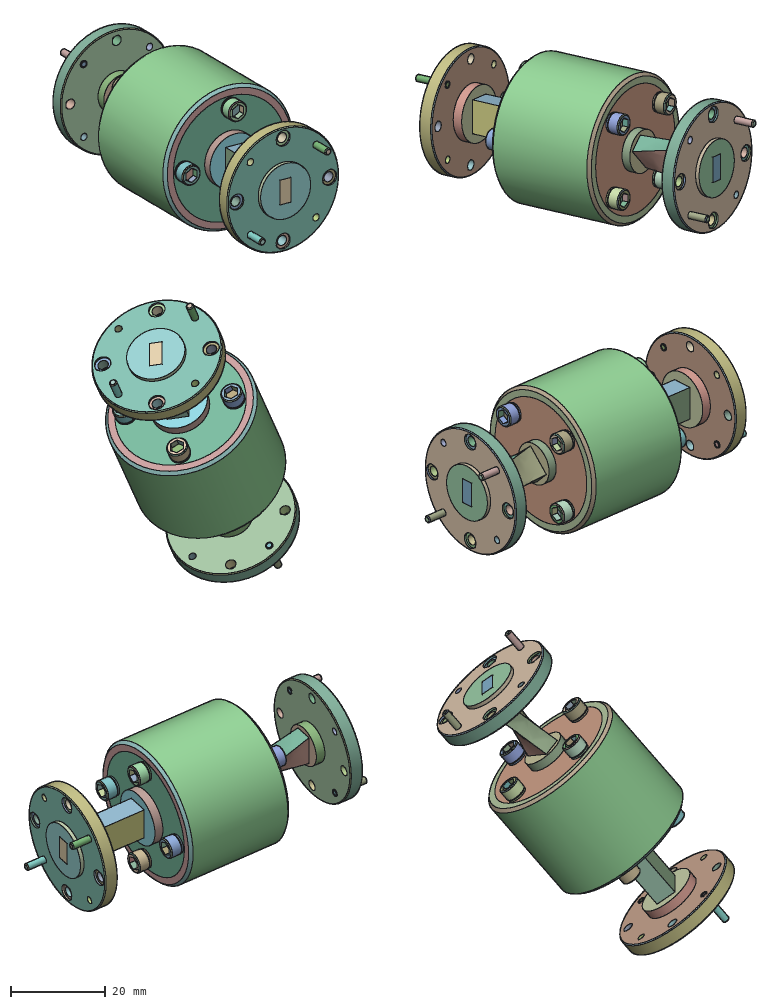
import cadquery as cq
import math


SLEEVE_END = 12.9
CAP_BOSS_END = 15.0
FLANGE_BOSS_START = 27.8
FLANGE_BACK = 30.0
FLANGE_FRONT = 33.3
CONTACT_FACE = 34.2
PIN_END = 38.0

SLEEVE_DIAMETER = 33.2
SLEEVE_CHAMFER = 0.7
CAP_RADIUS = 14.4

FLANGE_RADIUS = 14.3
FLANGE_CHAMFER = 0.2
CONTACT_RADIUS = 6.4
STRAIGHT_BOSS_RADIUS = CONTACT_RADIUS
TWIST_BOSS_RADIUS = 4.8
BOLT_CIRCLE_RADIUS = 11.85
BOLT_HOLE_DIAMETER = 2.3
COUNTERBORE_DIAMETER = 3.6
COUNTERBORE_DEPTH = 0.45
PIN_DIAMETER = 1.6
PIN_CHAMFER = 0.2

HEAD_DIAMETER = 4.6
HEAD_HEIGHT = 2.8
HEAD_CHAMFER = 0.2
NECK_DIAMETER = 4.4
NECK_HEIGHT = 0.4
SOCKET_WIDTH = 2.8
SOCKET_DEPTH = 1.5

STRAIGHT_GUIDE = (4.8, 7.6)
TWIST_GUIDE = (4.1, 7.0)
APERTURE = (2.8, 5.7)
TWIST_ANGLE = 45.0

SQUARE_ANGLES = (0, 90, 180, 270)
DIAGONAL_ANGLES = (45, 135, 225, 315)
STRAIGHT_PIN_ANGLES = (45, 225)
TWIST_PIN_ANGLES = (135, 315)


def disc(radius, start, end):
    """Cylinder about the X axis between two stations."""
    return cq.Workplane("YZ", origin=(start, 0, 0)).circle(radius).extrude(end - start)


def polar_points(angles):
    """Points (y, z) on the bolt circle at the given angles."""
    return [
        (
            BOLT_CIRCLE_RADIUS * math.cos(math.radians(angle)),
            BOLT_CIRCLE_RADIUS * math.sin(math.radians(angle)),
        )
        for angle in angles
    ]


def bars(diameter, start, end, angles):
    """Round bars parallel to X, of the given diameter, on the bolt circle."""
    return (
        cq.Workplane("YZ", origin=(start, 0, 0))
        .pushPoints(polar_points(angles))
        .circle(diameter / 2)
        .extrude(end - start)
    )


def block(section, start, end):
    """Rectangular bar along X between two stations."""
    return cq.Workplane("YZ", origin=(start, 0, 0)).rect(*section).extrude(end - start)


def flange(pin_angles):
    """Flange disc with contact face, bolt holes, dowel holes and two dowel pins."""
    body = disc(FLANGE_RADIUS, FLANGE_BACK, FLANGE_FRONT).edges().chamfer(FLANGE_CHAMFER)
    body = body.cut(bars(BOLT_HOLE_DIAMETER, FLANGE_BACK, FLANGE_FRONT, SQUARE_ANGLES))
    seat = FLANGE_FRONT - COUNTERBORE_DEPTH
    body = body.cut(bars(COUNTERBORE_DIAMETER, seat, FLANGE_FRONT, SQUARE_ANGLES))
    body = body.cut(bars(PIN_DIAMETER, FLANGE_BACK, FLANGE_FRONT, DIAGONAL_ANGLES))
    body = body.union(disc(CONTACT_RADIUS, FLANGE_FRONT, CONTACT_FACE))
    pins = bars(PIN_DIAMETER, FLANGE_BACK, PIN_END, pin_angles)
    pins = pins.faces("<X or >X").edges().chamfer(PIN_CHAMFER)
    return body.union(pins)


def cap_screws(angles):
    """Socket heads standing on a cap, each on a slightly narrower neck."""
    head_start = SLEEVE_END + NECK_HEIGHT
    head_end = head_start + HEAD_HEIGHT
    heads = bars(HEAD_DIAMETER, head_start, head_end, angles)
    heads = heads.faces(">X or <X").edges().chamfer(HEAD_CHAMFER)
    sockets = (
        cq.Workplane("YZ", origin=(head_end - SOCKET_DEPTH, 0, 0))
        .pushPoints(polar_points(angles))
        .polygon(6, SOCKET_WIDTH, circumscribed=True)
        .extrude(SOCKET_DEPTH)
    )
    necks = bars(NECK_DIAMETER, SLEEVE_END, head_start, angles)
    return heads.cut(sockets).union(necks)


def straight_guide():
    """Rectangular bar between the two bosses of the straight arm."""
    return block(STRAIGHT_GUIDE, CAP_BOSS_END, FLANGE_BOSS_START)


def twisted_guide():
    """Ruled loft from a section turned by the twist angle at the cap to an upright one at the flange."""
    cap_end = cq.Workplane("YZ", origin=(CAP_BOSS_END, 0, 0)).rect(*TWIST_GUIDE).wires().val()
    cap_end = cap_end.rotate(cq.Vector(0, 0, 0), cq.Vector(1, 0, 0), -TWIST_ANGLE)
    flange_end = cq.Workplane("YZ", origin=(FLANGE_BOSS_START, 0, 0)).rect(*TWIST_GUIDE).wires().val()
    return cq.Workplane(cq.Solid.makeLoft([cap_end, flange_end], True))


def arm(guide, boss_radius, pin_angles, screw_angles):
    """Arm along +X: cap reaching the middle of the sleeve, screws, bosses, guide and flange."""
    body = disc(CAP_RADIUS, 0, SLEEVE_END)
    body = body.union(cap_screws(screw_angles))
    body = body.union(disc(boss_radius, SLEEVE_END, CAP_BOSS_END))
    body = body.union(guide)
    body = body.union(disc(boss_radius, FLANGE_BOSS_START, FLANGE_BACK))
    body = body.union(flange(pin_angles))
    return body.cut(aperture_fill())


def aperture_fill():
    """Rectangular piece that fills a flange aperture from the guide to the contact face."""
    return block(APERTURE, FLANGE_BOSS_START, CONTACT_FACE)


def sleeve():
    """Tube with chamfered outer rims."""
    body = disc(SLEEVE_DIAMETER / 2, -SLEEVE_END, SLEEVE_END).edges().chamfer(SLEEVE_CHAMFER)
    return body.cut(disc(CAP_RADIUS, -SLEEVE_END, SLEEVE_END))


housing = sleeve()
straight_arm = arm(straight_guide(), STRAIGHT_BOSS_RADIUS, STRAIGHT_PIN_ANGLES, SQUARE_ANGLES)
twisted_arm = arm(twisted_guide(), TWIST_BOSS_RADIUS, TWIST_PIN_ANGLES, DIAGONAL_ANGLES).mirror("YZ")
straight_fill = aperture_fill()
twisted_fill = aperture_fill().mirror("YZ")

result = cq.Compound.makeCompound(
    [
        housing.val(),
        straight_arm.val(),
        twisted_arm.val(),
        straight_fill.val(),
        twisted_fill.val(),
    ]
)